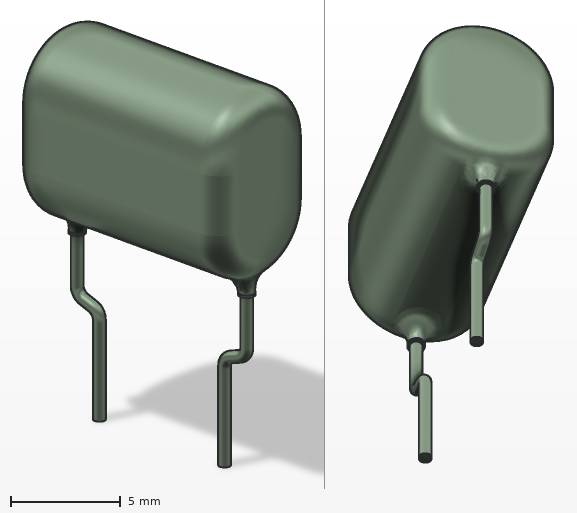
import cadquery as cq
import math

total_height = 19.4
body_length = 12.6
body_width = 6.4
body_height = 9.4
body_end_fillet = 1.26
body_middle = total_height - body_height / 2

meniscus_radius = 0.39
meniscus_fillet = 1.16
selection_margin = 0.04
collar_radius = 0.4
collar_thickness = 0.12
collar_bottom = 9.0
collar_top = collar_bottom + collar_thickness

lead_diameter = 0.6
upper_lead_x = 5.1
lower_lead_x = 3.76
bend_start_z = 6.32
bend_radius = 0.6
bend_angle = math.radians(70)

SIDES = (-1, 1)


def make_slab():
    """Obround section extruded along X, with both ends rounded over."""
    return (
        cq.Workplane("YZ", origin=(-body_length / 2, 0, body_middle))
        .slot2D(body_height, body_width, 90)
        .extrude(body_length)
        .faces("<X or >X")
        .edges()
        .fillet(body_end_fillet)
    )


def vertical_cylinder(x, radius, bottom, top):
    return cq.Workplane("XY", origin=(x, 0, bottom)).circle(radius).extrude(top - bottom)


def add_meniscus(body, x):
    """Blend a neck into the slab, trim it level and close it with the collar."""
    neck_bottom = collar_bottom - meniscus_fillet
    body = body.union(vertical_cylinder(x, meniscus_radius, neck_bottom, body_middle))
    reach = meniscus_radius + selection_margin
    seam_zone = cq.selectors.BoxSelector(
        (x - reach, -reach, collar_top),
        (x + reach, reach, body_middle),
        boundingbox=True,
    )
    seam = body.edges(seam_zone)
    body = seam.fillet(meniscus_fillet)
    trim_radius = meniscus_radius + meniscus_fillet
    body = body.cut(vertical_cylinder(x, trim_radius, neck_bottom, collar_top))
    return body.union(vertical_cylinder(x, collar_radius, collar_bottom, collar_top))


def make_body():
    body = make_slab()
    for side in SIDES:
        body = add_meniscus(body, side * upper_lead_x)
    return body


def make_lead(side):
    """Round wire swept down from the collar through an inward S-bend."""
    sin_bend = math.sin(bend_angle)
    cos_bend = math.cos(bend_angle)
    arc_offset = bend_radius * (1 - cos_bend)
    arc_drop = bend_radius * sin_bend
    half_offset = bend_radius * (1 - math.cos(bend_angle / 2))
    half_drop = bend_radius * math.sin(bend_angle / 2)
    link_offset = upper_lead_x - lower_lead_x - 2 * arc_offset
    link_drop = link_offset * cos_bend / sin_bend
    bend_end_z = bend_start_z - 2 * arc_drop - link_drop

    path = (
        cq.Workplane("XZ")
        .moveTo(side * upper_lead_x, collar_bottom)
        .lineTo(side * upper_lead_x, bend_start_z)
        .threePointArc(
            (side * (upper_lead_x - half_offset), bend_start_z - half_drop),
            (side * (upper_lead_x - arc_offset), bend_start_z - arc_drop),
        )
        .lineTo(side * (lower_lead_x + arc_offset), bend_end_z + arc_drop)
        .threePointArc(
            (side * (lower_lead_x + half_offset), bend_end_z + half_drop),
            (side * lower_lead_x, bend_end_z),
        )
        .lineTo(side * lower_lead_x, 0)
    )
    return (
        cq.Workplane("XY", origin=(side * upper_lead_x, 0, collar_bottom))
        .circle(lead_diameter / 2)
        .sweep(path)
    )


capacitor_body = make_body()
leads = [make_lead(side) for side in SIDES]

result = cq.Compound.makeCompound([capacitor_body.val(), *[lead.val() for lead in leads]])